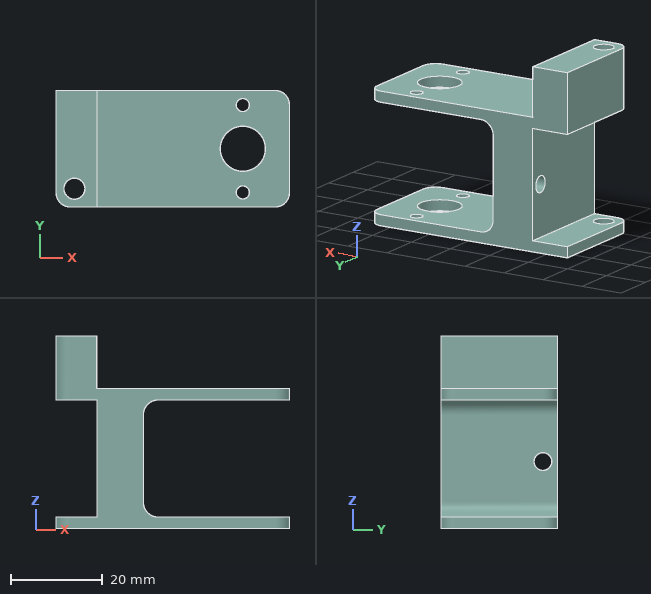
import cadquery as cq

length = 50.8
width = 25.4
height = 41.9

plate_thickness = 2.55
plate_gap = 25.4
upper_plate_bottom = plate_thickness + plate_gap
upper_plate_top = upper_plate_bottom + plate_thickness
block_length = 8.9
web_thickness = 10.15
web_end = block_length + web_thickness
corner_radius = 3.15
inner_fillet_radius = 3.15

bore_x = 40.65
bore_diameter = 9.75
screw_offset = 9.5
screw_diameter = 2.8

pivot_inset = 4.0
pivot_diameter = 4.5

web_hole_y = width / 2 + screw_offset
web_hole_z = 14.6
web_hole_diameter = 3.8


def box(x_start, x_end, z_start, z_end):
    """Full-width box between the given X and Z limits."""
    return cq.Workplane("XY").box(
        x_end - x_start, width, z_end - z_start, centered=False
    ).translate((x_start, 0, z_start))


def vertical_hole(x, y, diameter):
    """Cutter through the whole height of the part."""
    return cq.Workplane("XY").center(x, y).circle(diameter / 2).extrude(height)


def make_body():
    """Two plates joined by a web, with a block over the upper plate."""
    lower_plate = box(0, length, 0, plate_thickness)
    upper_plate = box(0, length, upper_plate_bottom, upper_plate_top)
    web = box(block_length, web_end, 0, upper_plate_top)
    block = box(0, block_length, upper_plate_bottom, height)
    return lower_plate.union(upper_plate).union(web).union(block).clean()


def round_edges(body):
    """Round the web roots and every outer corner except the rear one at X = 0."""
    margin = plate_thickness / 2
    web_roots = cq.selectors.BoxSelector(
        (web_end - margin, 0, plate_thickness - margin),
        (web_end + margin, width, upper_plate_bottom + margin),
    )
    body = body.edges("|Y").edges(web_roots).fillet(inner_fillet_radius)
    body = body.faces(">X").edges("|Z").fillet(corner_radius)
    return body.faces("<X").edges("|Z").edges("<Y").fillet(corner_radius)


result = round_edges(make_body())

result = result.cut(vertical_hole(bore_x, width / 2, bore_diameter))
for side in (-1, 1):
    result = result.cut(vertical_hole(bore_x, width / 2 + side * screw_offset, screw_diameter))

result = result.cut(vertical_hole(pivot_inset, pivot_inset, pivot_diameter))

web_hole = (
    cq.Workplane("YZ")
    .center(web_hole_y, web_hole_z)
    .circle(web_hole_diameter / 2)
    .extrude(length)
)
result = result.cut(web_hole)